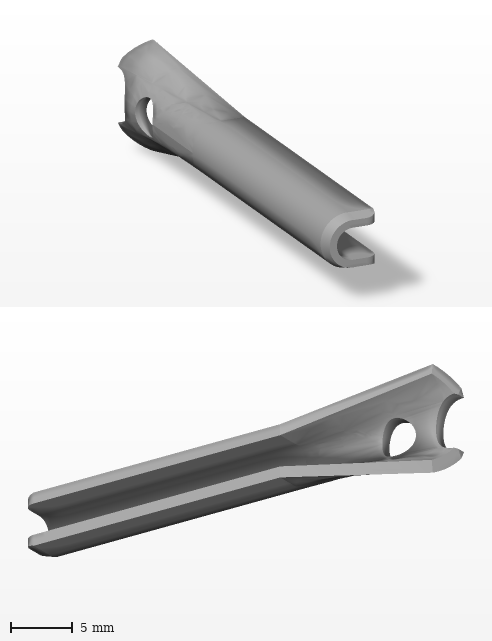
import cadquery as cq
import math

length = 40.65
stem_radius = 2.35
slot_radius = 1.4
side_end_y = 0.25
flare_length = 15.25

mouth_outer_radius = 5.8
mouth_inner_radius = 4.75
mouth_half_width = 5.05
mouth_inner_half_width = 4.02
mouth_center_y = mouth_outer_radius - stem_radius
crease_z = 2.5
inner_crease_z = crease_z * mouth_inner_radius / mouth_outer_radius

notch_radius = 2.4
hole_radius = 1.65
hole_x = 6.05

bevel_angle = 30.0
bevel_start = 0.33
bevel_rise = 6.4
bevel_run = 3.1
bevel_size = 8.13

tip_length = 1.05
tip_inset = 0.33
tip_round = 1.05


def mouth_point(radius, z):
    """Point of a mouth arc at height z, in (Y, Z)."""
    return (mouth_center_y - math.sqrt(radius**2 - z**2), z)


def belly_point(half_width):
    """Midpoint of the +Z half of the belly arc that joins the sides through its bottom, in (Y, Z)."""
    depth = side_end_y + half_width
    radius = (depth**2 + half_width**2) / (2 * depth)
    center_y = radius - half_width
    half_angle = math.atan2(half_width, center_y - side_end_y) / 2
    return (center_y - radius * math.cos(half_angle), radius * math.sin(half_angle))


def stem_profile(plane):
    """Closed U section of the stem."""
    diagonal = math.sqrt(0.5)
    r, s = stem_radius, slot_radius
    belly_y, belly_z = belly_point(r)
    return (
        plane.moveTo(r, r)
        .lineTo(side_end_y, r)
        .threePointArc((belly_y, belly_z), (-r, 0))
        .threePointArc((belly_y, -belly_z), (side_end_y, -r))
        .lineTo(r, -r)
        .lineTo(r, -s)
        .lineTo(0, -s)
        .threePointArc((-s * diagonal, -s * diagonal), (-s, 0))
        .threePointArc((-s * diagonal, s * diagonal), (0, s))
        .lineTo(r, s)
        .close()
    )


def mouth_profile(plane):
    """Closed crescent section with the same number of edges as the stem section."""
    outer_stations = [mouth_half_width, crease_z, 0, -crease_z, -mouth_half_width]
    inner_stations = [
        -mouth_inner_half_width,
        -inner_crease_z,
        0,
        inner_crease_z,
        mouth_inner_half_width,
    ]

    def add_arcs(path, radius, stations):
        for start, end in zip(stations, stations[1:]):
            middle = mouth_point(radius, (start + end) / 2)
            path = path.threePointArc(middle, mouth_point(radius, end))
        return path

    path = plane.moveTo(*mouth_point(mouth_outer_radius, mouth_half_width))
    path = add_arcs(path, mouth_outer_radius, outer_stations)
    path = path.lineTo(*mouth_point(mouth_inner_radius, -mouth_inner_half_width))
    path = add_arcs(path, mouth_inner_radius, inner_stations)
    return path.close()


def make_flare():
    mouth = mouth_profile(cq.Workplane("YZ")).val()
    stem = stem_profile(cq.Workplane("YZ", origin=(flare_length, 0, 0))).val()
    return cq.Workplane(cq.Solid.makeLoft([mouth, stem], True))


def make_stem():
    """U-shaped stem with a tapered bottom and sides and rounded top corners at the far end."""
    stem = stem_profile(cq.Workplane("YZ", origin=(flare_length, 0, 0))).extrude(length - flare_length)
    tip_x = length - tip_length
    tip_radius = stem_radius - tip_inset

    def envelope_section(x, radius):
        return (
            cq.Workplane("YZ", origin=(x, 0, 0))
            .moveTo(stem_radius, radius)
            .lineTo(side_end_y, radius)
            .threePointArc((-radius, 0), (side_end_y, -radius))
            .lineTo(stem_radius, -radius)
            .close()
        )

    body = envelope_section(flare_length, stem_radius).extrude(tip_x - flare_length)
    taper = cq.Solid.makeLoft(
        [
            envelope_section(tip_x, stem_radius).val(),
            envelope_section(length, tip_radius).val(),
        ],
        True,
    )
    rounding = (
        cq.Workplane("XY")
        .moveTo(length, stem_radius)
        .lineTo(tip_x, stem_radius)
        .radiusArc((length, stem_radius - tip_round), tip_round)
        .close()
        .extrude(stem_radius * 2, both=True)
    )
    return stem.intersect(body.union(taper)).cut(rounding)


def lip_bevel(side):
    """Wedge that slopes one mouth lip back; side is +1 for +Z and -1 for -Z."""
    slope = bevel_run / bevel_rise
    return (
        cq.Workplane("XY")
        .moveTo(0, bevel_start)
        .lineTo(slope * bevel_size, bevel_start + bevel_size)
        .lineTo(-bevel_size, bevel_start + bevel_size)
        .lineTo(-bevel_size, bevel_start)
        .close()
        .extrude(bevel_size, both=True)
        .rotate((0, 0, 0), (1, 0, 0), side * bevel_angle)
        .intersect(
            cq.Workplane("XY")
            .box(4 * bevel_size, 4 * bevel_size, 2 * bevel_size)
            .translate((0, 0, side * bevel_size))
        )
    )


def floor_opening(x, radius):
    """Round cutter along Y."""
    return (
        cq.Workplane("XZ")
        .center(x, 0)
        .circle(radius)
        .extrude(2 * stem_radius, both=True)
    )


result = make_flare().union(make_stem())
for side in (1, -1):
    result = result.cut(lip_bevel(side))
result = result.cut(floor_opening(0, notch_radius))
result = result.cut(floor_opening(hole_x, hole_radius))